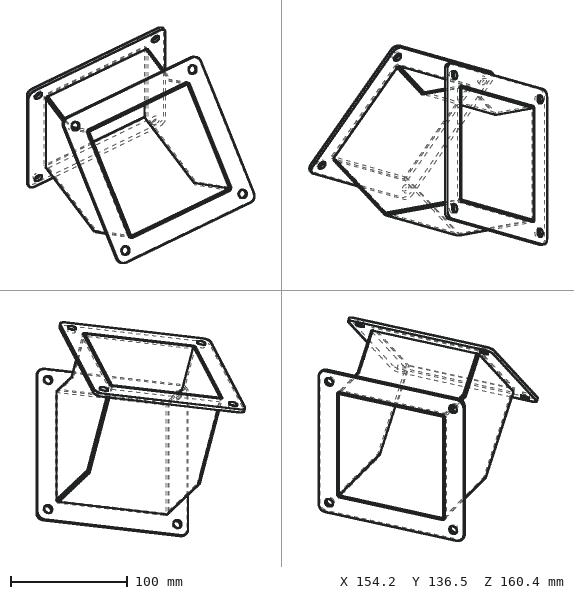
import cadquery as cq
import math

OVERALL_HEIGHT = 160.4
FLANGE_SIZE = 136.5
FLANGE_THICKNESS = 3.0
FLANGE_CORNER_RADIUS = 6.3
HOLE_DIAMETER = 7.2
HOLE_SPACING = 117.1
DUCT_OUTER = 102.0
PLATE_THICKNESS = 2.0
BEND_RADIUS = 1.0
BEND_ANGLE = 45.0

DUCT_INNER = DUCT_OUTER - 2 * PLATE_THICKNESS
HALF_INNER = DUCT_INNER / 2
AXIS_HEIGHT = FLANGE_SIZE / 2
BEND_COS = math.cos(math.radians(BEND_ANGLE))
BEND_SIN = math.sin(math.radians(BEND_ANGLE))
MITRE = math.tan(math.radians(BEND_ANGLE / 2))

LEG_LENGTH = (OVERALL_HEIGHT - AXIS_HEIGHT - FLANGE_SIZE / 2 * BEND_COS) / BEND_SIN

INLET_PLANE = cq.Plane(origin=(0, 0, AXIS_HEIGHT), xDir=(0, 1, 0), normal=(1, 0, 0))
OUTLET_PLANE = cq.Plane(
    origin=(LEG_LENGTH * (1 + BEND_COS), 0, AXIS_HEIGHT + LEG_LENGTH * BEND_SIN),
    xDir=(0, -1, 0),
    normal=(-BEND_COS, 0, -BEND_SIN),
)


def elbow_path(offset):
    """Start, kink and end in XZ of a line parallel to the duct axis, offset upward."""
    start = (0, AXIS_HEIGHT + offset)
    kink = (LEG_LENGTH - offset * MITRE, AXIS_HEIGHT + offset)
    end = (
        LEG_LENGTH * (1 + BEND_COS) - offset * BEND_SIN,
        AXIS_HEIGHT + LEG_LENGTH * BEND_SIN + offset * BEND_COS,
    )
    return [start, kink, end]


def elbow_band(lower_offset, upper_offset, width):
    """Slab with a sharp kink between two offset paths, centred on Y."""
    outline = elbow_path(lower_offset) + elbow_path(upper_offset)[::-1]
    return cq.Workplane("XZ").polyline(outline).close().extrude(width / 2, both=True)


def round_kink(band, offset, radius):
    """Round the kink edge of a band along the path at the given offset."""
    kink_x, kink_z = elbow_path(offset)[1]
    return band.edges(cq.NearestToPointSelector((kink_x, 0, kink_z))).fillet(radius)


def make_flange(plane):
    """Square ring whose opening takes the plate ends, cut across at its corners."""
    flange = (
        cq.Workplane(plane)
        .rect(FLANGE_SIZE, FLANGE_SIZE)
        .extrude(FLANGE_THICKNESS)
        .edges(cq.ParallelDirSelector(plane.zDir))
        .fillet(FLANGE_CORNER_RADIUS)
    )
    opening = (
        cq.Workplane(plane)
        .rect(DUCT_OUTER, DUCT_OUTER)
        .extrude(FLANGE_THICKNESS)
        .edges(cq.ParallelDirSelector(plane.zDir))
        .chamfer(PLATE_THICKNESS)
    )
    holes = (
        cq.Workplane(plane)
        .rect(HOLE_SPACING, HOLE_SPACING, forConstruction=True)
        .vertices()
        .circle(HOLE_DIAMETER / 2)
        .extrude(FLANGE_THICKNESS)
    )
    return flange.cut(opening).cut(holes)


def make_bent_plate(side):
    """Plate above (side=1) or below (side=-1) the duct; concave on its upper face."""
    lower, upper = sorted((side * HALF_INNER, side * DUCT_OUTER / 2))
    plate = elbow_band(lower, upper, DUCT_INNER)
    plate = round_kink(plate, lower, BEND_RADIUS + PLATE_THICKNESS)
    return round_kink(plate, upper, BEND_RADIUS)


def make_cheek(side):
    """Flat side plate, level with the inner faces of the bent plates and sharp at its kinks."""
    cheek = elbow_band(-HALF_INNER, HALF_INNER, PLATE_THICKNESS)
    return cheek.translate((0, side * (DUCT_INNER + PLATE_THICKNESS) / 2, 0))


flanges = [make_flange(plane) for plane in (INLET_PLANE, OUTLET_PLANE)]
bent_plates = [make_bent_plate(side) for side in (-1, 1)]
cheeks = [make_cheek(side) for side in (-1, 1)]

result = cq.Compound.makeCompound([body.val() for body in flanges + bent_plates + cheeks])